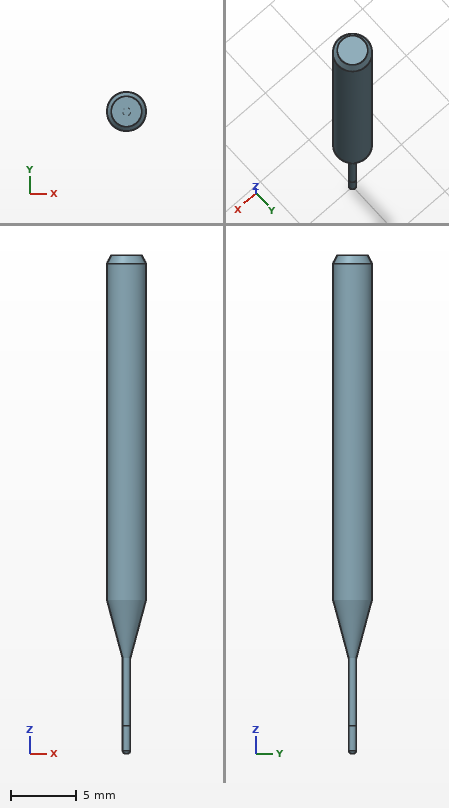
import cadquery as cq
import math

total_length = 38.15
shank_diameter = 3.0
shank_radius = shank_diameter / 2

bevel_width = 0.35
bevel_height = 0.65

cone_top = 11.8
cone_bottom = 7.32

tip_diameter = 0.6
tip_radius = tip_diameter / 2
tip_top = 2.17
nose_height = 0.23


def revolve_outline(outline):
    """Turn a closed half section in the XZ plane into a solid around the Z axis."""
    return outline.revolve(360, (0, 0, 0), (0, 1, 0))


def make_holder():
    """Bevelled shank, cone and neck, ending flat on top of the cutting tip."""
    outline = cq.Workplane("XZ").polyline([
        (0, tip_top),
        (tip_radius, tip_top),
        (tip_radius, cone_bottom),
        (shank_radius, cone_top),
        (shank_radius, total_length - bevel_height),
        (shank_radius - bevel_width, total_length),
        (0, total_length),
    ]).close()
    return revolve_outline(outline)


def make_cutting_tip():
    """Cylindrical cutting tip with a shallow spherical nose."""
    nose_radius = (tip_radius**2 + nose_height**2) / (2 * nose_height)
    mid_radius = tip_radius / 2
    mid_height = nose_radius - math.sqrt(nose_radius**2 - mid_radius**2)
    outline = (
        cq.Workplane("XZ")
        .threePointArc((mid_radius, mid_height), (tip_radius, nose_height))
        .lineTo(tip_radius, tip_top)
        .lineTo(0, tip_top)
        .close()
    )
    return revolve_outline(outline)


holder = make_holder()
cutting_tip = make_cutting_tip()

result = cq.Compound.makeCompound([holder.val(), cutting_tip.val()])